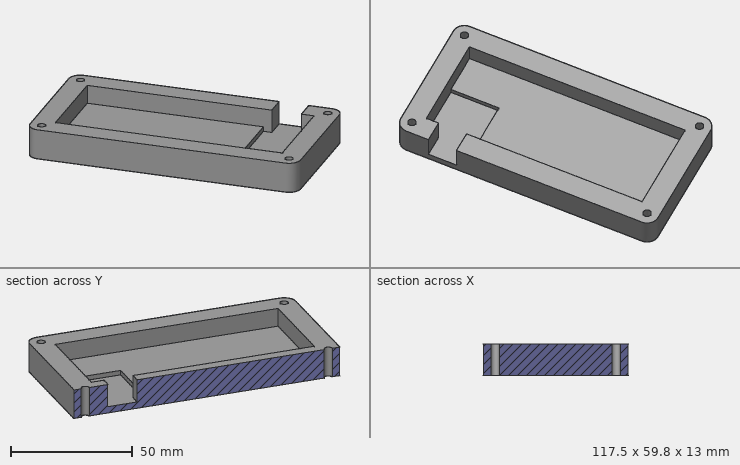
import cadquery as cq

length = 117.5
width = 59.8
height = 13.0
corner_radius = 5.0

wall = 9.5
pocket_depth = 8.0

recess_length = 22.0
recess_width = 23.1
recess_depth = 10.0

channel_width = 12.8
channel_inset = 5.5

hole_diameter = 3.4

pocket_length = length - 2 * wall
pocket_width = width - 2 * wall
pocket_right = pocket_length / 2
pocket_back = pocket_width / 2
channel_right = pocket_right - channel_inset


def top_cutter(x_min, x_max, y_min, y_max, depth):
    """Box that reaches from the top face down to the given depth."""
    return (
        cq.Workplane("XY")
        .box(x_max - x_min, y_max - y_min, depth, centered=False)
        .translate((x_min, y_min, height - depth))
    )


block = (
    cq.Workplane("XY")
    .box(length, width, height, centered=(True, True, False))
    .edges("|Z")
    .fillet(corner_radius)
)

pocket = top_cutter(-pocket_right, pocket_right, -pocket_back, pocket_back, pocket_depth)

recess = top_cutter(
    pocket_right - recess_length,
    pocket_right,
    pocket_back - recess_width,
    pocket_back,
    recess_depth,
)

channel = top_cutter(
    channel_right - channel_width,
    channel_right,
    pocket_back - recess_width / 2,
    width / 2,
    recess_depth,
)

holes = (
    cq.Workplane("XY")
    .rect(length - 2 * corner_radius, width - 2 * corner_radius, forConstruction=True)
    .vertices()
    .circle(hole_diameter / 2)
    .extrude(height)
)

result = block.cut(pocket).cut(recess).cut(channel).cut(holes)